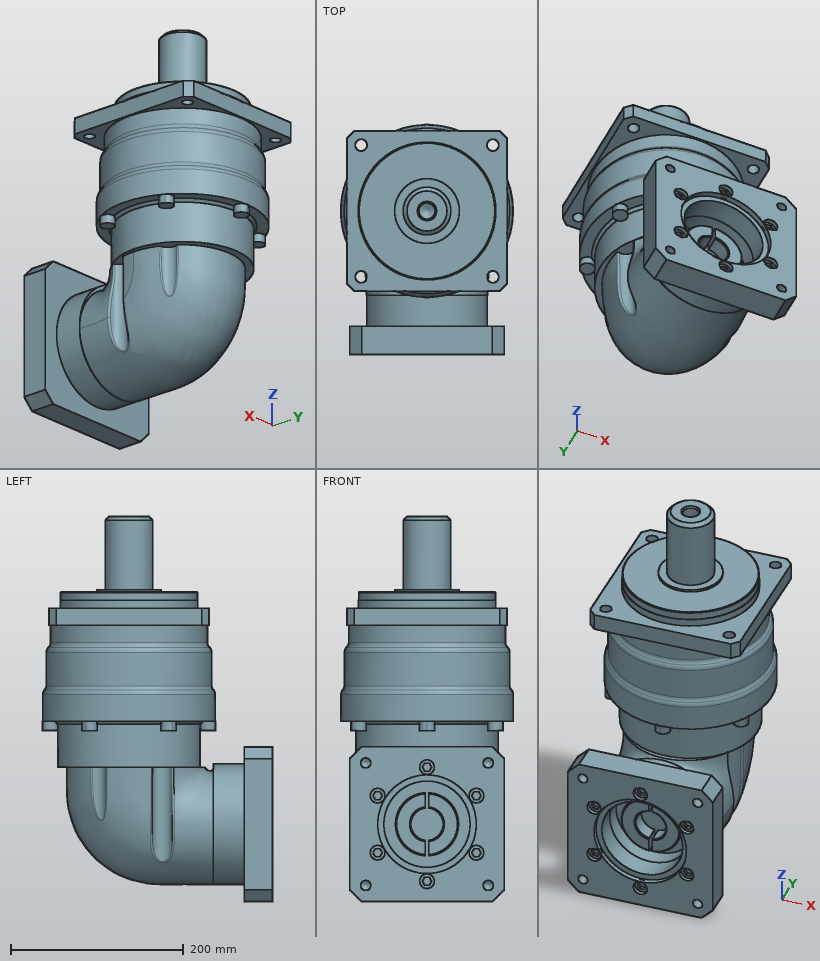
import cadquery as cq
import math


SHAFT_RADIUS = 27.5
SHAFT_TOP = 357.0
SHAFT_CHAMFER = 4.5
CENTER_HOLE_RADIUS = 9.5
CENTER_HOLE_DEPTH = 35.7
CENTER_HOLE_CHAMFER = 2.0
DRILL_TIP_HALF_ANGLE = math.radians(59)

SEAL_RADIUS = 37.5
SEAL_TOP = 272.0
PILOT_RADIUS = 80.0
PILOT_RELIEF = 0.5
PILOT_TOP = 269.5
PILOT_RELIEF_BOTTOM = 259.5
PILOT_CHAMFER = 1.0
FLANGE_SIDE = 186.0
FLANGE_CORNER = 8.5
FLANGE_TOP = 250.5
FLANGE_BOTTOM = 230.5
FLANGE_HOLE_RADIUS = 6.5
FLANGE_HOLE_PITCH = 152.8
SHOULDER_RADIUS = 91.0
SHOULDER_BOTTOM = 211.0
RING_GEAR_RADIUS = 96.0
RING_GEAR_TOP = 199.2
RING_GEAR_BOTTOM = 161.0
RIM_RADIUS = 100.0
RIM_TOP = 150.5
RIM_BOTTOM = 119.3
NECK_RADIUS = 82.5
NECK_BOTTOM = 66.0
NECK_FLARE = 3.5

BOLT_COUNT = 6
BOLT_FIRST_ANGLE = 30
BOLT_CIRCLE_RADIUS = 91.5
BOLT_HEAD_RADIUS = 9.0
BOLT_HEAD_HEIGHT = 10.5

TUBE_RADIUS = 70.0
ELBOW_TOP_HALF_WIDTH = 77.0
HEEL_RADIUS = 109.0
HEEL_BACK = 72.5
CROOK_Y = -98.0
CROOK_GAP_TOP = 10.0
CROOK_GAP_FRONT = 2.0
ELBOW_SECTION_COUNT = 9
FLUTE_RADIUS = 11.5
FLUTE_X = 69.0
FLUTE_Y = 38.5
FLUTE_FILLET = 2.2
FLUTE_EDGE_BOX = ((-92.5, -67, -53.5), (92.5, 67, NECK_BOTTOM - 0.5))

PLATE_FRONT = -166.5
PLATE_THICKNESS = 33.0
PLATE_BACK = PLATE_FRONT + PLATE_THICKNESS
PLATE_SIDE = 179.5
PLATE_CORNER = 14.0
MOTOR_PILOT_RADIUS = 57.0
MOTOR_PILOT_DEPTH = 6.5
BORE_RADIUS = 50.0
THREAD_HOLE_RADIUS = 6.0
THREAD_HOLE_PITCH = 142.0
THREAD_HOLE_DEPTH = 20.0
SCREW_COUNT = 6
SCREW_CIRCLE_RADIUS = 66.0
SCREW_RECESS_RADIUS = 8.5
SCREW_RECESS_DEPTH = 5.5
SOCKET_ACROSS_CORNERS = 10.5
SOCKET_DEPTH = 4.5

HUB_RADIUS = 36.5
HUB_FACE = PLATE_FRONT + 34.0
HUB_BORE_RADIUS = 18.8
HUB_CHAMFER = 1.5
HUB_SLOT_WIDTH = 4.0
CAVITY_FLOOR = PLATE_FRONT + 53.5


def upright_cylinder(radius, bottom, top):
    return cq.Workplane("XY").workplane(offset=bottom).circle(radius).extrude(top - bottom)


def facing_front(y):
    """Sketch plane at a given Y whose extrusions run toward -Y and whose axes are X and Z."""
    return cq.Workplane("XZ", origin=(0, y, 0))


def drilled_hole(radius, depth):
    """Blind hole tool along -Z from the origin, ending in a conical drill tip."""
    tip = radius / math.tan(DRILL_TIP_HALF_ANGLE)
    return (
        cq.Workplane("XZ")
        .polyline([(0, 0), (radius, 0), (radius, -depth), (0, -depth - tip)])
        .close()
        .revolve(360, (0, 0), (0, 1))
    )


def make_output_shaft():
    shaft = upright_cylinder(SHAFT_RADIUS, FLANGE_BOTTOM, SHAFT_TOP).faces(">Z").chamfer(SHAFT_CHAMFER)
    hole = drilled_hole(CENTER_HOLE_RADIUS, CENTER_HOLE_DEPTH).translate((0, 0, SHAFT_TOP))
    return shaft.cut(hole).faces(">Z").edges("%CIRCLE").edges(
        cq.selectors.RadiusNthSelector(0)
    ).chamfer(CENTER_HOLE_CHAMFER)


def make_output_flange():
    plate = (
        cq.Workplane("XY")
        .workplane(offset=FLANGE_BOTTOM)
        .rect(FLANGE_SIDE, FLANGE_SIDE)
        .extrude(FLANGE_TOP - FLANGE_BOTTOM)
        .edges("|Z")
        .chamfer(FLANGE_CORNER)
        .faces(">Z")
        .workplane()
        .rect(FLANGE_HOLE_PITCH, FLANGE_HOLE_PITCH, forConstruction=True)
        .vertices()
        .hole(2 * FLANGE_HOLE_RADIUS)
    )
    pilot = upright_cylinder(PILOT_RADIUS, FLANGE_TOP, PILOT_RELIEF_BOTTOM)
    relief = upright_cylinder(PILOT_RADIUS - PILOT_RELIEF, PILOT_RELIEF_BOTTOM, PILOT_TOP)
    relief = relief.faces(">Z").chamfer(PILOT_CHAMFER)
    seal = upright_cylinder(SEAL_RADIUS, PILOT_TOP, SEAL_TOP)
    return plate.union(pilot).union(relief).union(seal)


def make_gear_case():
    """Turned case from the flange down to the neck, widening in two S-shaped steps."""
    upper_middle = ((SHOULDER_RADIUS + RING_GEAR_RADIUS) / 2, (SHOULDER_BOTTOM + RING_GEAR_TOP) / 2)
    lower_middle = ((RING_GEAR_RADIUS + RIM_RADIUS) / 2, (RING_GEAR_BOTTOM + RIM_TOP) / 2)
    return (
        cq.Workplane("XZ")
        .moveTo(0, FLANGE_BOTTOM)
        .lineTo(SHOULDER_RADIUS, FLANGE_BOTTOM)
        .lineTo(SHOULDER_RADIUS, SHOULDER_BOTTOM)
        .tangentArcPoint(upper_middle, relative=False)
        .tangentArcPoint((RING_GEAR_RADIUS, RING_GEAR_TOP), relative=False)
        .lineTo(RING_GEAR_RADIUS, RING_GEAR_BOTTOM)
        .tangentArcPoint(lower_middle, relative=False)
        .tangentArcPoint((RIM_RADIUS, RIM_TOP), relative=False)
        .lineTo(RIM_RADIUS, RIM_BOTTOM)
        .lineTo(NECK_RADIUS + NECK_FLARE, RIM_BOTTOM)
        .lineTo(NECK_RADIUS, RIM_BOTTOM - NECK_FLARE)
        .lineTo(NECK_RADIUS, NECK_BOTTOM)
        .lineTo(0, NECK_BOTTOM)
        .close()
        .revolve(360, (0, 0), (0, 1))
    )


def make_rim_bolts():
    return (
        cq.Workplane("XY")
        .workplane(offset=RIM_BOTTOM - BOLT_HEAD_HEIGHT)
        .polarArray(BOLT_CIRCLE_RADIUS, BOLT_FIRST_ANGLE, 360, BOLT_COUNT)
        .circle(BOLT_HEAD_RADIUS)
        .extrude(BOLT_HEAD_HEIGHT)
    )


def elbow_reach(ahead_y, ahead_z):
    """Distance from the crook along a downward direction to the outside of the elbow.

    The outside runs straight down the back, round the heel and straight along the underside.
    """
    heel_y = HEEL_BACK - HEEL_RADIUS
    heel_z = HEEL_RADIUS - TUBE_RADIUS
    from_heel_y = CROOK_Y - heel_y
    from_heel_z = NECK_BOTTOM - heel_z
    along = -(from_heel_y * ahead_y + from_heel_z * ahead_z)
    across = from_heel_y * ahead_z - from_heel_z * ahead_y
    reach = along + math.sqrt(HEEL_RADIUS**2 - across**2)
    if NECK_BOTTOM + reach * ahead_z > heel_z:
        return (HEEL_BACK - CROOK_Y) / ahead_y
    if CROOK_Y + reach * ahead_y < heel_y:
        return (NECK_BOTTOM + TUBE_RADIUS) / -ahead_z
    return reach


def elbow_section(turn):
    """Elliptical elbow section in a plane through the crook; turn runs from 0 (level) to 1 (upright)."""
    angle = turn * math.pi / 2
    ahead_y = math.cos(angle)
    ahead_z = -math.sin(angle)
    gap = CROOK_GAP_TOP + turn * (CROOK_GAP_FRONT - CROOK_GAP_TOP)
    reach = elbow_reach(ahead_y, ahead_z)
    middle = (reach + gap) / 2
    half_width = ELBOW_TOP_HALF_WIDTH + turn * (TUBE_RADIUS - ELBOW_TOP_HALF_WIDTH)
    plane = cq.Plane(
        origin=(0, CROOK_Y + middle * ahead_y, NECK_BOTTOM + middle * ahead_z),
        xDir=(1, 0, 0),
        normal=(0, ahead_z, -ahead_y),
    )
    return cq.Workplane(plane).ellipse(half_width, (reach - gap) / 2).wire().val()


def make_elbow():
    """Tapered bend from the neck to the round input leg, with rounded flutes below the side bolts."""
    sections = [elbow_section(i / (ELBOW_SECTION_COUNT - 1)) for i in range(ELBOW_SECTION_COUNT)]
    bend = cq.Workplane(cq.Solid.makeLoft(sections))
    input_leg = facing_front(CROOK_Y).circle(TUBE_RADIUS).extrude(CROOK_Y - PLATE_BACK)
    for x in (-FLUTE_X, FLUTE_X):
        for y in (-FLUTE_Y, FLUTE_Y):
            flute = upright_cylinder(FLUTE_RADIUS, -TUBE_RADIUS, NECK_BOTTOM).translate((x, y, 0))
            bend = bend.cut(flute)
    bend = bend.edges(cq.selectors.BoxSelector(*FLUTE_EDGE_BOX)).fillet(FLUTE_FILLET)
    return bend.union(input_leg)


def make_input_cavity():
    """Bore of the input leg, open to the plate."""
    return facing_front(CAVITY_FLOOR).circle(BORE_RADIUS).extrude(CAVITY_FLOOR - PLATE_BACK)


def make_clamp_hub():
    """Slotted clamp hub standing on the cavity floor and ending just short of the plate."""
    hub = (
        facing_front(CAVITY_FLOOR)
        .circle(HUB_RADIUS)
        .circle(HUB_BORE_RADIUS)
        .extrude(CAVITY_FLOOR - HUB_FACE)
        .faces("<Y")
        .chamfer(HUB_CHAMFER)
    )
    slot = facing_front(CAVITY_FLOOR).rect(HUB_SLOT_WIDTH, 2 * HUB_RADIUS).extrude(CAVITY_FLOOR - HUB_FACE)
    return hub.cut(slot)


def make_gearbox():
    return (
        make_gear_case()
        .union(make_output_flange())
        .union(make_output_shaft())
        .union(make_rim_bolts())
        .union(make_elbow())
        .cut(make_input_cavity())
        .union(make_clamp_hub())
    )


def make_adapter_plate():
    plate = (
        facing_front(PLATE_BACK)
        .rect(PLATE_SIDE, PLATE_SIDE)
        .extrude(PLATE_THICKNESS)
        .edges("|Y")
        .chamfer(PLATE_CORNER)
    )
    bore = facing_front(PLATE_BACK).circle(BORE_RADIUS).extrude(PLATE_THICKNESS)
    pilot = facing_front(PLATE_FRONT + MOTOR_PILOT_DEPTH).circle(MOTOR_PILOT_RADIUS).extrude(MOTOR_PILOT_DEPTH)
    plate = plate.cut(bore).cut(pilot)

    thread_hole = drilled_hole(THREAD_HOLE_RADIUS, THREAD_HOLE_DEPTH).rotate((0, 0, 0), (1, 0, 0), 90)
    for x in (-THREAD_HOLE_PITCH / 2, THREAD_HOLE_PITCH / 2):
        for z in (-THREAD_HOLE_PITCH / 2, THREAD_HOLE_PITCH / 2):
            plate = plate.cut(thread_hole.translate((x, PLATE_FRONT, z)))

    recess_floor = PLATE_FRONT + SCREW_RECESS_DEPTH
    recess = facing_front(recess_floor).circle(SCREW_RECESS_RADIUS).extrude(SCREW_RECESS_DEPTH)
    socket = facing_front(recess_floor + SOCKET_DEPTH).polygon(6, SOCKET_ACROSS_CORNERS).extrude(SOCKET_DEPTH)
    screw_cut = recess.union(socket)
    for i in range(SCREW_COUNT):
        angle = math.radians(90 + i * 360 / SCREW_COUNT)
        x = SCREW_CIRCLE_RADIUS * math.cos(angle)
        z = SCREW_CIRCLE_RADIUS * math.sin(angle)
        plate = plate.cut(screw_cut.translate((x, 0, z)))
    return plate


gearbox = make_gearbox()
adapter_plate = make_adapter_plate()

result = cq.Compound.makeCompound([gearbox.val(), adapter_plate.val()])